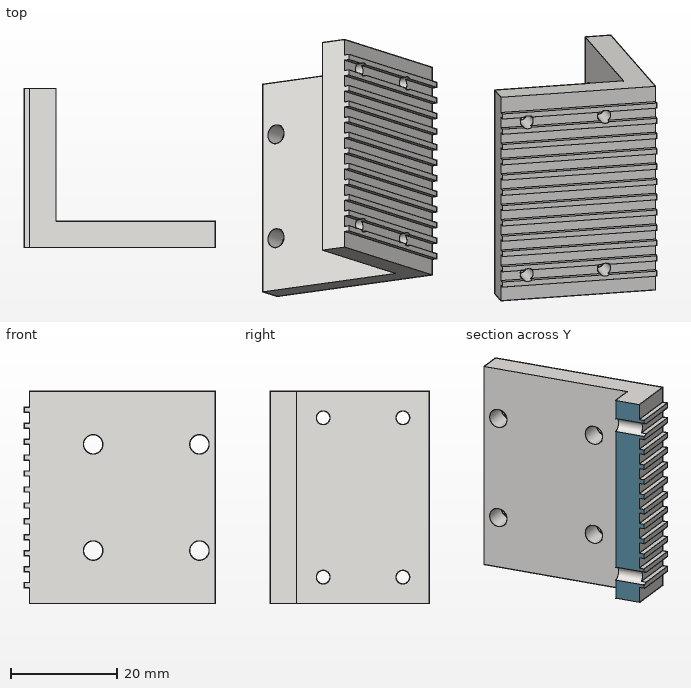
import cadquery as cq

height = 40.0
depth = 30.0
base_width = 35.0
wall = 5.0

rib_size = 1.0
rib_pitch = 3.0
rib_count = 12

front_hole_diameter = 3.6
front_hole_spacing = 20.0
front_hole_edge = 3.0

side_hole_diameter = 2.5
side_hole_edge = 5.0
side_hole_spacing_y = 15.0

side_face = rib_size
width = side_face + base_width
middle_z = height / 2


def box(x, y, z, length, breadth, tall):
    """Box with its lowest corner at (x, y, z)."""
    return cq.Workplane("XY").box(length, breadth, tall, centered=False).translate((x, y, z))


def front_holes():
    """Square pattern of holes along Y through the front leg."""
    center_x = width - front_hole_edge - front_hole_spacing / 2
    return (
        cq.Workplane("XZ", origin=(center_x, 0, middle_z))
        .rarray(front_hole_spacing, front_hole_spacing, 2, 2)
        .circle(front_hole_diameter / 2)
        .extrude(-wall)
    )


def side_holes():
    """Rectangular pattern of holes along X through the ribs and the side leg."""
    center_y = depth - side_hole_edge - side_hole_spacing_y / 2
    spacing_z = height - 2 * side_hole_edge
    return (
        cq.Workplane("YZ", origin=(0, center_y, middle_z))
        .rarray(side_hole_spacing_y, spacing_z, 2, 2)
        .circle(side_hole_diameter / 2)
        .extrude(side_face + wall)
    )


front_leg = box(side_face, 0, 0, base_width, wall, height)
side_leg = box(side_face, 0, 0, wall, depth, height)
result = front_leg.union(side_leg)

lowest_rib = middle_z - ((rib_count - 1) * rib_pitch + rib_size) / 2
for index in range(rib_count):
    rib_z = lowest_rib + index * rib_pitch
    result = result.union(box(0, 0, rib_z, rib_size, depth, rib_size))

result = result.cut(front_holes()).cut(side_holes())